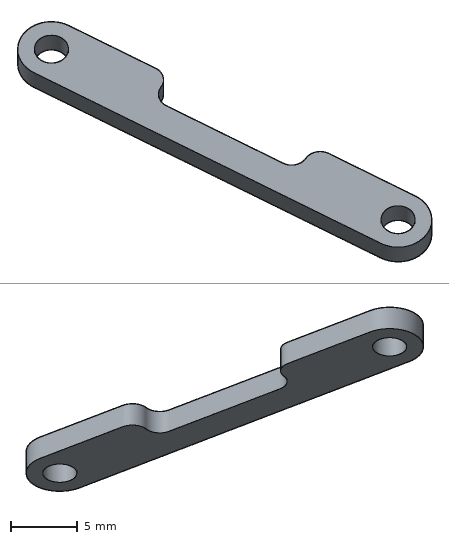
import cadquery as cq

length = 35.55
width = 5.1
thickness = 1.92
hole_diameter = 2.55
notch_width = 12.73
corner_radius = 1.25

hole_spacing = length - width
notch_depth = width / 2

bar = cq.Workplane("XY").slot2D(length, width).extrude(thickness)

notch = (
    cq.Workplane("XY")
    .center(0, notch_depth / 2)
    .rect(notch_width, notch_depth)
    .extrude(thickness)
)
notched_bar = bar.cut(notch)

corner_zone = cq.selectors.BoxSelector(
    (-notch_width / 2 - corner_radius, -corner_radius, -thickness),
    (notch_width / 2 + corner_radius, width, 2 * thickness),
)
rounded_bar = notched_bar.edges("|Z").edges(corner_zone).fillet(corner_radius)

hole_centers = [(side * hole_spacing / 2, 0) for side in (-1, 1)]
holes = (
    cq.Workplane("XY")
    .pushPoints(hole_centers)
    .circle(hole_diameter / 2)
    .extrude(thickness)
)
result = rounded_bar.cut(holes)